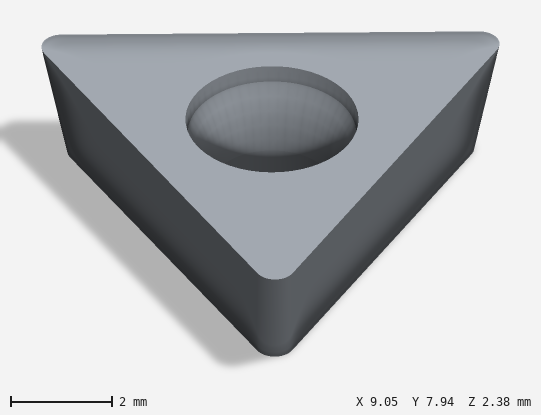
import cadquery as cq
import math

width = 9.05
thickness = 2.38
corner_radius = 0.4
relief_angle = 7.0

bore_radius = 1.25
mouth_radius = 1.71
seat_top_radius = 1.665
mouth_depth = 0.34
seat_arc_radius = 2.57

top_center_inset = (width - 2 * corner_radius) / (2 * math.sqrt(3))
bottom_center_inset = top_center_inset - thickness * math.tan(math.radians(relief_angle))


def polar(center, radius, angle):
    """Point at a radius and an angle in degrees around a center."""
    a = math.radians(angle)
    return (center[0] + radius * math.cos(a), center[1] + radius * math.sin(a))


def rounded_triangle(center_inset, z):
    """Closed wire of a rounded triangle with one corner toward +Y."""
    outline = cq.Workplane("XY", origin=(0, 0, z))
    for corner_angle in (90, 210, 330):
        center = polar((0, 0), 2 * center_inset, corner_angle)
        start, middle, end = [
            polar(center, corner_radius, corner_angle + turn) for turn in (-60, 0, 60)
        ]
        if corner_angle == 90:
            outline = outline.moveTo(*start)
        else:
            outline = outline.lineTo(*start)
        outline = outline.threePointArc(middle, end)
    return outline.close().val()


def screw_hole():
    """Solid of revolution that cuts the through hole and its rounded seat."""
    seat_top = thickness - mouth_depth
    seat_flare = seat_top_radius - bore_radius
    seat_angle = math.degrees(math.acos(1 - seat_flare / seat_arc_radius))
    seat_bottom = seat_top - seat_arc_radius * math.sin(math.radians(seat_angle))
    arc_center = (-bore_radius - seat_arc_radius, seat_bottom)
    seat_middle = polar(arc_center, seat_arc_radius, seat_angle / 2)
    return (
        cq.Workplane("XZ")
        .moveTo(0, 0)
        .lineTo(-bore_radius, 0)
        .lineTo(-bore_radius, seat_bottom)
        .threePointArc(seat_middle, (-seat_top_radius, seat_top))
        .lineTo(-mouth_radius, thickness)
        .lineTo(0, thickness)
        .close()
        .revolve(360, (0, 0, 0), (0, 1, 0))
    )


body = cq.Solid.makeLoft(
    [rounded_triangle(bottom_center_inset, 0), rounded_triangle(top_center_inset, thickness)],
    True,
)
result = cq.Workplane("XY").add(body).cut(screw_hole())